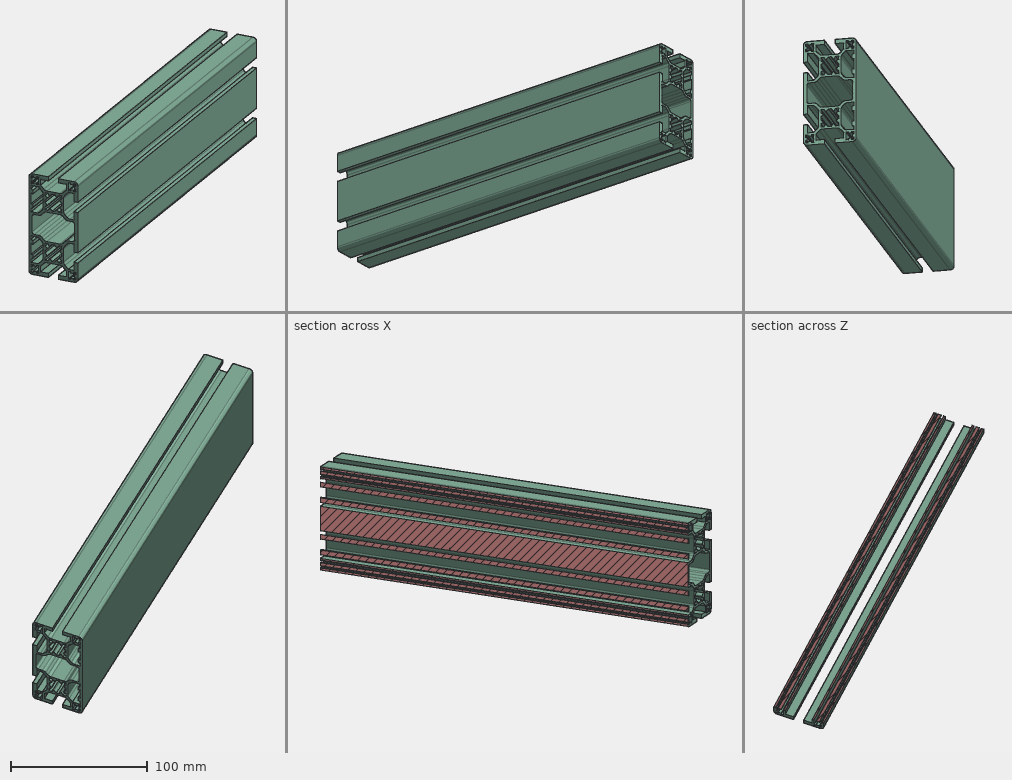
import cadquery as cq
length = 300
width = 40.0
height = 80.0
corner_radius = 3.0
half_width = width / 2
module_offset = height / 2 - half_width

slot_opening = 8.0
lip_thickness = 3.3
slot_half_width = 10.5
slot_floor = 8.5
overrun = 3
slot_roof = half_width - lip_thickness

web_offset = 1.65
bend_radius = 3.5

skin = 1.8
cavity_skin = 2.7
cavity_corner_radius = 1.8
wall = 1.65

core_half_width = slot_floor - wall
core_rib_height = 2.0
core_rib_tip_radius = 0.3
core_rib_tip = 3.0
core_rib_inner = 1.0
core_rib_outer = 4.5

corner_rib_width = 2.7
corner_rib_height = 1.0
chamber_radius = 1.0

ridge_base = 8.0
ridge_crest = 7.0

chamber_inner = slot_half_width + wall
chamber_outer = half_width - skin


def prism(points):
    """Extrude a closed XZ outline over the full length, centred on Y."""
    return cq.Workplane("XZ").polyline(points).close().extrude(length / 2, both=True)


def block(x_min, x_max, z_min, z_max):
    return prism([(x_min, z_min), (x_max, z_min), (x_max, z_max), (x_min, z_max)])


def turned(shape, angle):
    """Turn a shape about the Y axis."""
    return shape.rotate((0, 0, 0), (0, 1, 0), angle)


def rounded(shape, points, radius):
    """Round the edges parallel to Y that pass through the given XZ points."""
    for x, z in points:
        shape = shape.edges(cq.NearestToPointSelector((x, 0, z))).fillet(radius)
    return shape


def slot_chamber(roof, bends):
    """Wide part of a slot on the +Z side of a module, narrowing at 45 degrees to its floor.

    The floor edges are rounded, and so is the shoulder on each side (-1 or 1) listed in bends.
    """
    floor_half_width = slot_floor - web_offset
    shoulder = slot_half_width + web_offset
    chamber = prism([
        (-slot_half_width, roof),
        (slot_half_width, roof),
        (slot_half_width, shoulder),
        (floor_half_width, slot_floor),
        (-floor_half_width, slot_floor),
        (-slot_half_width, shoulder),
    ])
    floor_edges = [(side * floor_half_width, slot_floor) for side in (-1, 1)]
    shoulders = [(side * slot_half_width, shoulder) for side in bends]
    return rounded(chamber, floor_edges + shoulders, bend_radius)


def open_slot(bends):
    """T-slot opening on the +Z side of a module."""
    mouth = block(-slot_opening / 2, slot_opening / 2, slot_floor, half_width + overrun)
    return slot_chamber(slot_roof, bends).union(mouth)


def closed_slot():
    """Slot on the -X side, covered by the skin, with two ridges beside the former mouth."""
    cutter = turned(slot_chamber(chamber_outer, [-1]), -90)
    for side in (-1, 1):
        ridge = prism([
            (-chamber_outer, side * slot_opening / 2),
            (-slot_roof, side * slot_opening / 2),
            (-slot_roof, side * ridge_crest),
            (-chamber_outer, side * ridge_base),
        ])
        cutter = cutter.cut(ridge)
    return cutter


def screw_channel():
    """Square channel at the module centre with two pointed ribs on each wall."""
    cutter = block(-core_half_width, core_half_width, -core_half_width, core_half_width)
    for angle in (0, 90, 180, 270):
        for side in (-1, 1):
            rib_tip = (side * core_rib_tip, core_half_width - core_rib_height)
            rib = prism([
                (side * core_rib_inner, core_half_width),
                rib_tip,
                (side * core_rib_outer, core_half_width),
            ])
            rib = rounded(rib, [rib_tip], core_rib_tip_radius)
            cutter = cutter.cut(turned(rib, angle))
    return cutter


def corner_chamber():
    """Chamber in the +X +Z corner with ribs on its two outer walls and its lower wall."""
    cutter = block(chamber_inner, chamber_outer, chamber_inner, chamber_outer)
    cutter = cutter.edges("|Y and >X and >Z").fillet(chamber_radius)
    rib_min = (chamber_inner + chamber_outer - corner_rib_width) / 2
    rib_max = rib_min + corner_rib_width
    rib_top = chamber_inner + corner_rib_height
    rib_bottom = chamber_outer - corner_rib_height
    cutter = cutter.cut(block(rib_min, rib_max, chamber_inner, rib_top))
    cutter = cutter.cut(block(rib_min, rib_max, rib_bottom, chamber_outer))
    return cutter.cut(block(rib_bottom, chamber_outer, rib_min, rib_max))


def module_cutters():
    """All voids of the upper module, placed about the module centre."""
    chamber = corner_chamber()
    return [
        open_slot([]),
        turned(open_slot([1]), 90),
        closed_slot(),
        screw_channel(),
        chamber,
        chamber.mirror("YZ"),
    ]


def central_cavity():
    """Large cavity between the modules, narrowing at 45 degrees towards both screw channels."""
    side = half_width - cavity_skin
    edge = module_offset - chamber_inner
    end = module_offset - slot_floor
    shoulder = chamber_inner - web_offset
    end_half_width = slot_floor - web_offset
    upper = [
        (side, edge),
        (shoulder, edge),
        (end_half_width, end),
        (-end_half_width, end),
        (-shoulder, edge),
        (-side, edge),
    ]
    cavity = prism(upper + [(-x, -z) for x, z in upper])
    for x_side in (-1, 1):
        for z_side in (-1, 1):
            bends = [
                (x_side * shoulder, z_side * edge),
                (x_side * end_half_width, z_side * end),
            ]
            cavity = rounded(cavity, bends, bend_radius)
            cavity = rounded(cavity, [(x_side * side, z_side * edge)], cavity_corner_radius)
    return cavity


body = cq.Workplane("XY").box(width, length, height).edges("|Y").fillet(corner_radius)
for cutter in module_cutters():
    upper_cutter = cutter.translate((0, 0, module_offset))
    body = body.cut(upper_cutter).cut(upper_cutter.mirror("XY"))
result = body.cut(central_cavity())